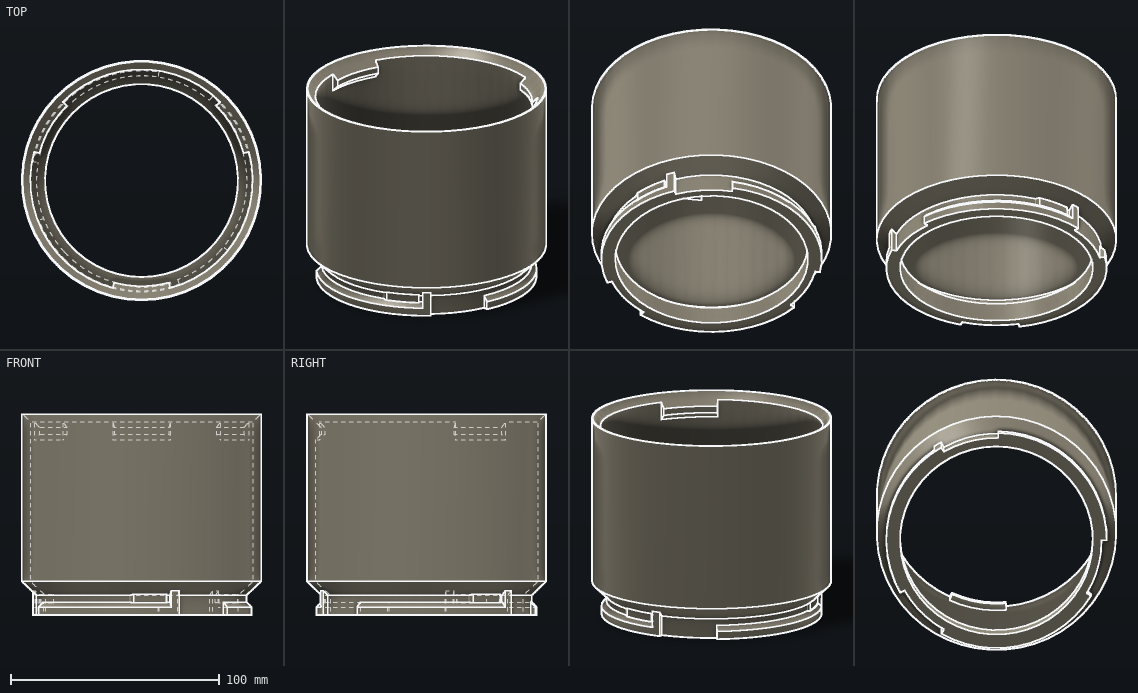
import cadquery as cq
import math

outer_radius = 57.5
height = 96.5
bore_radius = 53.4
rim_flat = 0.5
rim_radius = outer_radius - rim_flat

neck_radius = 50.5
neck_bore_radius = 46.2
neck_top = 9.5
cone_top = 16.2

bayonet_count = 3
lug_radius = 52.9
lug_edge_height = 3.9
lug_start = -39.0
lug_end = 50.0
stop_width = 4.3
stop_height = 12.2

pad_radius = 51.2
pad_bottom = 6.0
pad_top = 10.1
pad_start = 25.9
pad_end = 43.6
pad_ramp = 2.2

tooth_radius = 50.7
tooth_land = 3.2
tooth_center = 30.0
tooth_angle = 30.0

overlap = 1.2


def sector(profile, start, end):
    """Revolve an (r, z) profile about Z from one azimuth to another, in degrees."""
    body = cq.Workplane("XZ").polyline(profile).close().revolve(end - start, (0, 0, 0), (0, 1, 0))
    return body.rotate((0, 0, 0), (0, 0, 1), start)


def polar(radius, azimuth):
    """Return the (x, y) point at a radius and an azimuth in degrees."""
    angle = math.radians(azimuth)
    return (radius * math.cos(angle), radius * math.sin(angle))


def make_sleeve():
    return sector(
        [
            (neck_bore_radius, 0),
            (neck_radius, 0),
            (neck_radius, neck_top),
            (outer_radius, cone_top),
            (outer_radius, height),
            (bore_radius, height),
            (bore_radius, cone_top),
            (neck_bore_radius, neck_top),
        ],
        -90,
        270,
    )


def make_lug():
    root = neck_radius - overlap
    lug_top = lug_edge_height + lug_radius - neck_radius
    return sector(
        [(root, 0), (lug_radius, 0), (lug_radius, lug_edge_height), (neck_radius, lug_top), (root, lug_top)],
        lug_start,
        lug_end,
    )


def make_stop():
    root = neck_radius - overlap
    return sector(
        [(root, 0), (lug_radius, 0), (lug_radius, stop_height), (root, stop_height)],
        lug_end - stop_width,
        lug_end,
    )


def make_pad():
    """Pad with a ramp up at its start and a radial step at its end."""
    root = neck_radius - overlap
    ramp_start = pad_start - pad_ramp
    return (
        cq.Workplane("XY", origin=(0, 0, pad_bottom))
        .moveTo(*polar(root, ramp_start))
        .lineTo(*polar(neck_radius, ramp_start))
        .lineTo(*polar(pad_radius, pad_start))
        .threePointArc(polar(pad_radius, (pad_start + pad_end) / 2), polar(pad_radius, pad_end))
        .lineTo(*polar(root, pad_end))
        .threePointArc(polar(root, (ramp_start + pad_end) / 2), polar(root, ramp_start))
        .close()
        .extrude(pad_top - pad_bottom)
    )


def make_tooth():
    root = bore_radius + overlap
    land_bottom = height - (rim_radius - tooth_radius) - tooth_land
    return sector(
        [
            (tooth_radius, land_bottom),
            (tooth_radius, height),
            (root, height),
            (root, land_bottom - (root - tooth_radius)),
        ],
        tooth_center - tooth_angle / 2,
        tooth_center + tooth_angle / 2,
    )


def make_rim_bevel():
    """Cutter for the 45 degree inner bevel shared by the rim and the teeth."""
    clear_radius = tooth_radius - overlap
    return sector(
        [(clear_radius, height), (rim_radius, height), (clear_radius, height - (rim_radius - clear_radius))],
        -90,
        270,
    )


result = make_sleeve()
for feature in (make_lug(), make_stop(), make_pad(), make_tooth()):
    for index in range(bayonet_count):
        azimuth = index * 360 / bayonet_count
        result = result.union(feature.rotate((0, 0, 0), (0, 0, 1), azimuth))
result = result.cut(make_rim_bevel())